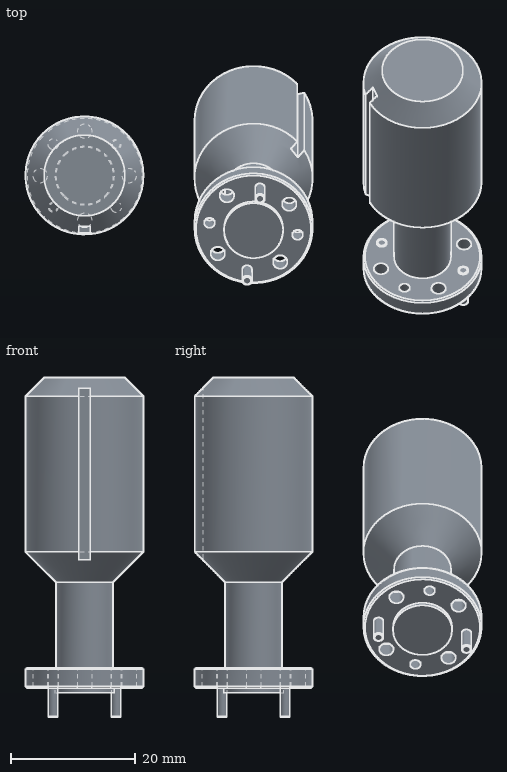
import cadquery as cq
import math

flange_radius = 9.5
flange_bottom = 4.7
flange_top = 8.0
flange_chamfer = 0.3
boss_radius = 4.75
boss_bottom = 3.95

neck_radius = 4.6
head_radius = flange_radius
top_radius = 6.5
overall_height = 54.65
head_bottom = 26.6
head_top = overall_height - (head_radius - top_radius)
neck_top = head_bottom - (head_radius - neck_radius)

slot_width = 1.85
slot_floor = 8.2

hole_circle_radius = 7.15
screw_hole_diameter = 2.3
screw_hole_angles = (0, 90, 180, 270)
alignment_hole_diameter = 1.7
alignment_hole_angles = (135, 315)

pin_diameter = 1.6
pin_bottom = 0.0
pin_chamfer = 0.15
pin_angles = (45, 225)


def circle_point(angle):
    """Point on the hole circle at an angle in degrees from +X."""
    turn = math.radians(angle)
    return (hole_circle_radius * math.cos(turn), hole_circle_radius * math.sin(turn))


def flange_holes(diameter, angles):
    """Cutters that pass through the flange thickness."""
    return (
        cq.Workplane("XY", origin=(0, 0, flange_bottom))
        .pushPoints([circle_point(angle) for angle in angles])
        .circle(diameter / 2)
        .extrude(flange_top - flange_bottom)
    )


def make_turned_body():
    """Boss, flange, neck and head revolved about Z."""
    profile = [
        (0, boss_bottom),
        (boss_radius, boss_bottom),
        (boss_radius, flange_bottom),
        (flange_radius - flange_chamfer, flange_bottom),
        (flange_radius, flange_bottom + flange_chamfer),
        (flange_radius, flange_top - flange_chamfer),
        (flange_radius - flange_chamfer, flange_top),
        (neck_radius, flange_top),
        (neck_radius, neck_top),
        (head_radius, head_bottom),
        (head_radius, head_top),
        (top_radius, overall_height),
        (0, overall_height),
    ]
    return cq.Workplane("XZ").polyline(profile).close().revolve(360, (0, 0, 0), (0, 1, 0))


def make_slot_cutter():
    """Block outside the slot floor, spanning the height of the head and its cones."""
    return cq.Workplane("XY").box(
        slot_width,
        head_radius,
        overall_height - neck_top,
        centered=(True, False, False),
    ).translate((0, -slot_floor - head_radius, neck_top))


def make_housing():
    housing = make_turned_body().cut(make_slot_cutter())
    housing = housing.cut(flange_holes(screw_hole_diameter, screw_hole_angles))
    housing = housing.cut(flange_holes(alignment_hole_diameter, alignment_hole_angles))
    return housing.cut(flange_holes(pin_diameter, pin_angles))


def make_pin(angle):
    """Dowel pin with both ends chamfered."""
    return (
        cq.Workplane("XY", origin=(0, 0, pin_bottom))
        .center(*circle_point(angle))
        .circle(pin_diameter / 2)
        .extrude(flange_top - pin_bottom)
        .faces("<Z or >Z")
        .chamfer(pin_chamfer)
    )


housing = make_housing()
pins = [make_pin(angle).val() for angle in pin_angles]

result = cq.Compound.makeCompound([housing.val(), *pins])